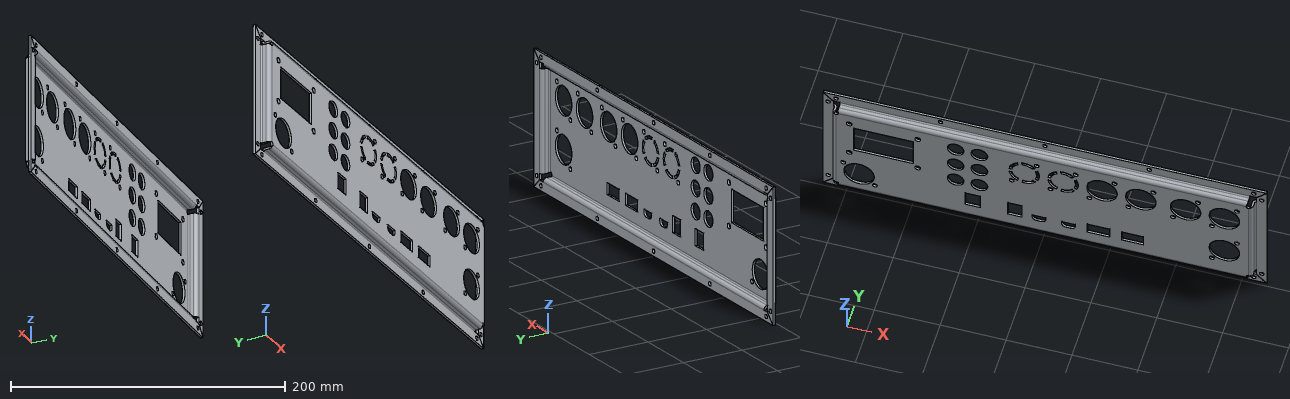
import cadquery as cq
import math

OUTER_LENGTH = 336.99
OUTER_HEIGHT = 108.02
DEPTH = 9.03
SHEET = 2.0
INNER_BEND = 1.0
OUTER_BEND = INNER_BEND + SHEET
RIM_INSET = 12.0

FACE_LENGTH = OUTER_LENGTH - 2 * RIM_INSET
FACE_HEIGHT = OUTER_HEIGHT - 2 * RIM_INSET
FLANGE_FRONT = DEPTH - SHEET

CORNER_RELIEF_DIAMETER = 3.45
MITRE_GAP = 0.15
WALL_END_INSET = 1.0

FLANGE_HOLE_DIAMETER = 3.2
FLANGE_HOLE_EDGE = 4.0
FLANGE_HOLE_END = 10.0
LONG_SIDE_HOLES = 5

CONNECTOR_DIAMETER = 23.0
CONNECTOR_SCREW_DIAMETER = 3.45
CONNECTOR_SCREW_X = 9.5
CONNECTOR_SCREW_Z = 12.0
CONNECTOR_PITCH = 29.5
CONNECTOR_ROW_Z = 21.4
RIGHT_CONNECTOR_X = 138.2
LOWER_CONNECTOR_Z = -16.8
LEFT_PAIR_X = 45.3
TURNED_CONNECTOR = (-139.0, -24.7)

KNOCKOUT_COUNT = 2
KNOCKOUT_SLOTS = 5
KNOCKOUT_SLOT_WIDTH = 2.0
KNOCKOUT_BRIDGE = 3.6
KNOCKOUT_FIRST_BRIDGE = 37.0

DISPLAY_CENTER = (-120.5, 15.5)
DISPLAY_LENGTH = 45.0
DISPLAY_HEIGHT = 26.0
DISPLAY_SCREW_X = 52.0
DISPLAY_SCREW_Z = 34.0
DISPLAY_SCREW_DIAMETER = 4.1

BUTTON_DIAMETER = 12.4
BUTTON_PITCH = 18.0
BUTTON_CENTER = (-56.7, 12.8)
BUTTON_COLUMNS = 2
BUTTON_ROWS = 3

SOCKET_BOTTOM = -31.9
SOCKETS = [(-52.8, 11.5, 13.3), (-20.8, 10.7, 13.3), (42.6, 17.0, 9.3), (68.5, 16.5, 9.3)]
SMALL_SOCKET_XS = (-2.5, 19.9)
SMALL_SOCKET_LENGTH = 10.5
SMALL_SOCKET_HEIGHT = 5.3
SMALL_SOCKET_CORNER = 3.5


def plane():
    """Front plane of the panel."""
    return cq.Workplane("XZ")


def rim_side(span, reach):
    """One folded side: front bend, wall, back bend and mitred flange, rising from z = reach."""
    arc_middle = math.sqrt(0.5)
    wall_inside = reach + INNER_BEND
    wall_outside = reach + OUTER_BEND
    back_bend = wall_outside + INNER_BEND
    edge = reach + RIM_INSET
    profile = (
        cq.Workplane("YZ")
        .moveTo(0, reach)
        .threePointArc(
            (OUTER_BEND * (1 - arc_middle), reach + OUTER_BEND * arc_middle), (OUTER_BEND, wall_outside)
        )
        .lineTo(FLANGE_FRONT - INNER_BEND, wall_outside)
        .threePointArc(
            (FLANGE_FRONT - INNER_BEND * (1 - arc_middle), back_bend - INNER_BEND * arc_middle),
            (FLANGE_FRONT, back_bend),
        )
        .lineTo(FLANGE_FRONT, edge)
        .lineTo(DEPTH, edge)
        .lineTo(DEPTH, back_bend)
        .threePointArc(
            (DEPTH - OUTER_BEND * (1 - arc_middle), back_bend - OUTER_BEND * arc_middle),
            (DEPTH - OUTER_BEND, wall_inside),
        )
        .lineTo(OUTER_BEND, wall_inside)
        .threePointArc(
            (OUTER_BEND - INNER_BEND * arc_middle, reach + INNER_BEND * arc_middle), (SHEET, reach)
        )
        .close()
        .extrude(span / 2 + RIM_INSET, both=True)
    )
    near = span / 2
    wall = near - WALL_END_INSET
    mitre = near + back_bend - reach - MITRE_GAP
    far = near + RIM_INSET - MITRE_GAP
    outline = (
        plane()
        .polyline(
            [
                (-wall, reach), (-wall, back_bend), (-mitre, back_bend), (-far, edge),
                (far, edge), (mitre, back_bend), (wall, back_bend), (wall, reach),
            ]
        )
        .close()
        .extrude(-DEPTH)
    )
    return profile.intersect(outline)


def turned(body, angle):
    """Body rotated about the panel's central Y axis."""
    return body.rotate((0, 0, 0), (0, 1, 0), angle)


def cutter(sketch):
    """Solid through the full depth from closed wires on the front plane (x right, z up)."""
    return sketch.extrude(-DEPTH)


def holes(points, diameter):
    """Round through-hole cutters at (x, z) points."""
    return cutter(plane().pushPoints(points).circle(diameter / 2))


def connector_screws(x, z, dx=CONNECTOR_SCREW_X, dz=CONNECTOR_SCREW_Z):
    """Pair of screw holes on a diagonal through the connector axis."""
    return holes([(x - dx, z - dz), (x + dx, z + dz)], CONNECTOR_SCREW_DIAMETER)


def knockout(x, z):
    """Ring of arc slots that leaves the disc attached by narrow bridges."""
    radius = CONNECTOR_DIAMETER / 2
    ring = cutter(plane().center(x, z).circle(radius).circle(radius - KNOCKOUT_SLOT_WIDTH))
    for index in range(KNOCKOUT_SLOTS):
        angle = KNOCKOUT_FIRST_BRIDGE + index * 360 / KNOCKOUT_SLOTS
        bridge = cutter(
            plane().center(x, z).transformed(rotate=(0, 0, angle)).center(radius, 0)
            .rect(3 * KNOCKOUT_SLOT_WIDTH, KNOCKOUT_BRIDGE)
        )
        ring = ring.cut(bridge)
    return ring


def small_socket(x):
    """Flat-topped opening with rounded lower corners."""
    z = SOCKET_BOTTOM + SMALL_SOCKET_HEIGHT / 2
    block = cutter(plane().center(x, z).rect(SMALL_SOCKET_LENGTH, SMALL_SOCKET_HEIGHT))
    return block.edges("|Y and <Z").fillet(SMALL_SOCKET_CORNER)


result = plane().rect(FACE_LENGTH, FACE_HEIGHT).extrude(-SHEET)
for side_angle in (0, 180):
    result = result.union(turned(rim_side(FACE_LENGTH, FACE_HEIGHT / 2), side_angle))
    result = result.union(turned(rim_side(FACE_HEIGHT, FACE_LENGTH / 2), side_angle + 90))

corner_points = [(sx * FACE_LENGTH / 2, sz * FACE_HEIGHT / 2) for sx in (-1, 1) for sz in (-1, 1)]
relief = plane().pushPoints(corner_points).circle(CORNER_RELIEF_DIAMETER / 2).extrude(-OUTER_BEND)
result = result.cut(relief)

long_row_start = OUTER_LENGTH / 2 - FLANGE_HOLE_END
long_row_pitch = 2 * long_row_start / (LONG_SIDE_HOLES - 1)
long_row_z = OUTER_HEIGHT / 2 - FLANGE_HOLE_EDGE
short_row_x = OUTER_LENGTH / 2 - FLANGE_HOLE_EDGE
short_row_z = OUTER_HEIGHT / 2 - FLANGE_HOLE_END
flange_points = [(sx * short_row_x, sz * short_row_z) for sx in (-1, 1) for sz in (-1, 1)]
for hole in range(LONG_SIDE_HOLES):
    hole_x = -long_row_start + hole * long_row_pitch
    flange_points += [(hole_x, -long_row_z), (hole_x, long_row_z)]
result = result.cut(holes(flange_points, FLANGE_HOLE_DIAMETER))

connectors = [
    (LEFT_PAIR_X, CONNECTOR_ROW_Z),
    (LEFT_PAIR_X + CONNECTOR_PITCH, CONNECTOR_ROW_Z),
    (RIGHT_CONNECTOR_X - CONNECTOR_PITCH, CONNECTOR_ROW_Z),
    (RIGHT_CONNECTOR_X, CONNECTOR_ROW_Z),
    (RIGHT_CONNECTOR_X, LOWER_CONNECTOR_Z),
]
result = result.cut(holes(connectors + [TURNED_CONNECTOR], CONNECTOR_DIAMETER))
for x, z in connectors:
    result = result.cut(connector_screws(x, z))
result = result.cut(connector_screws(*TURNED_CONNECTOR, -CONNECTOR_SCREW_Z, CONNECTOR_SCREW_X))

for step in range(1, KNOCKOUT_COUNT + 1):
    knockout_x = LEFT_PAIR_X - step * CONNECTOR_PITCH
    result = result.cut(knockout(knockout_x, CONNECTOR_ROW_Z))
    result = result.cut(connector_screws(knockout_x, CONNECTOR_ROW_Z))

result = result.cut(cutter(plane().center(*DISPLAY_CENTER).rect(DISPLAY_LENGTH, DISPLAY_HEIGHT)))
display_screws = plane().center(*DISPLAY_CENTER).rect(
    DISPLAY_SCREW_X, DISPLAY_SCREW_Z, forConstruction=True
)
result = result.cut(cutter(display_screws.vertices().circle(DISPLAY_SCREW_DIAMETER / 2)))

buttons = plane().center(*BUTTON_CENTER).rarray(BUTTON_PITCH, BUTTON_PITCH, BUTTON_COLUMNS, BUTTON_ROWS)
result = result.cut(cutter(buttons.circle(BUTTON_DIAMETER / 2)))

for x, length, height in SOCKETS:
    result = result.cut(cutter(plane().center(x, SOCKET_BOTTOM + height / 2).rect(length, height)))
for x in SMALL_SOCKET_XS:
    result = result.cut(small_socket(x))